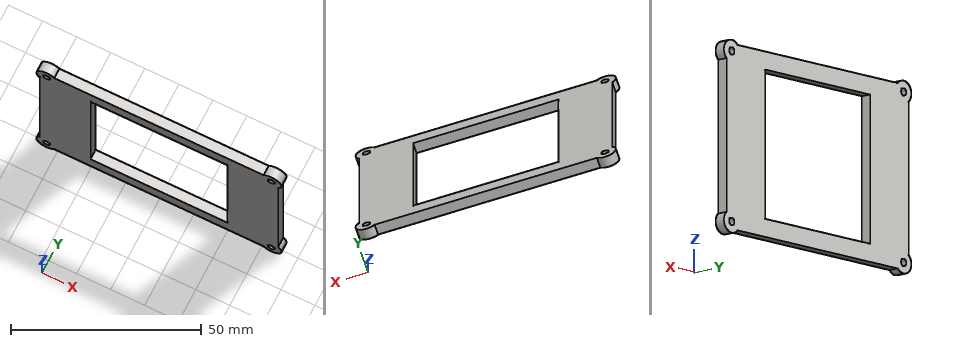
import cadquery as cq

length = 72.0
height = 52.0
thickness = 3.0

lobe_diameter = 6.05
hole_diameter = 2.0
lobe_overhang = 1.0

window_side = 40.2

plate_length = length - 2 * lobe_overhang
plate_height = height - 2 * lobe_overhang
hole_spacing_x = length - lobe_diameter
hole_spacing_z = height - lobe_diameter


def front_plane():
    """XZ sketch plane placed so that extrusions are centred on Y = 0."""
    return cq.Workplane("XZ", origin=(0, thickness / 2, 0))


def corner_cylinders(diameter):
    """Four cylinders through the thickness, one at each screw position."""
    return (
        front_plane()
        .rect(hole_spacing_x, hole_spacing_z, forConstruction=True)
        .vertices()
        .circle(diameter / 2)
        .extrude(thickness)
    )


plate = front_plane().rect(plate_length, plate_height).extrude(thickness)
window = front_plane().rect(window_side, window_side).extrude(thickness)

result = (
    plate.union(corner_cylinders(lobe_diameter))
    .cut(window)
    .cut(corner_cylinders(hole_diameter))
)